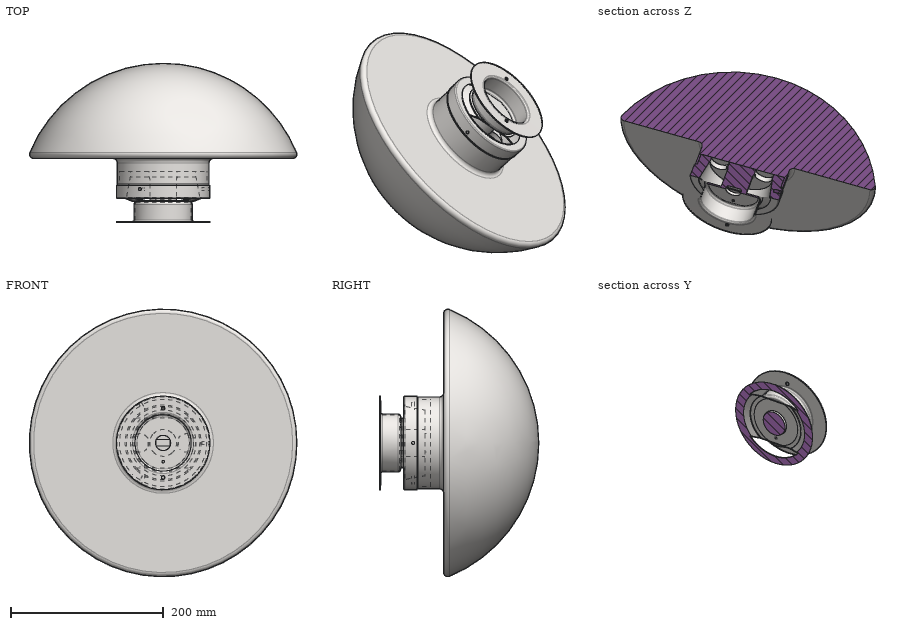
import cadquery as cq
import math


total_depth = 208.5
shade_radius = 175.0
shade_face_y = 83.7
rim_round = 5.5
seam_y = 91.7
neck_radius = 60.2
neck_round = 5.5
neck_end_y = 50.5
socket_radius = 57.0

cavity_mouth_radius = 48.0
cavity_floor_radius = 43.0
cavity_floor_y = 59.5
cavity_floor_thickness = 7.0
post_radius = 17.5
post_round = 2.5
cable_hole_diameter = 24.0
cable_hole_offset = 30.5

sheet = 1.5
collar_radius = 61.3
collar_front_y = 31.5
collar_back_y = 48.5
collar_edge_round = 1.5
opening_radius = 49.7
nose_front_y = 27.5
nose_front_radius = 40.0
nose_half_height = 32.5

pocket_diameter = 20.0
pocket_depth = 4.2
slot_width = 8.5
slot_length = 18.2
slot_depth = 1.5

cup_outer_radius = 38.0
cup_inner_bend = 2.5
flange_radius = 61.3
flange_dish = 0.5
flange_bend = 1.8
mount_hole_diameter = 4.5
mount_hole_offset = 45.0
pilot_hole_diameter = 3.25
pilot_hole_z = -24.5

screw_diameter = 4.0
screw_length = 9.5
screw_recess = 1.0
screw_y = 43.8
screw_angles = (0, 120, 240)


def turned(profile):
    """Solid of revolution about Y from a closed profile of (radius, y) points."""
    return profile.close().revolve(360, (0, 0, 0), (0, 1, 0))


def bore(diameter, front_y, back_y, x=0, z=0):
    """Cylinder along Y, between two Y positions, about an axis at (x, z)."""
    return cq.Workplane("XZ", origin=(x, front_y, z)).circle(diameter / 2).extrude(front_y - back_y)


def block(width, height, front_y, back_y):
    """Box centred on the Y axis, between two Y positions."""
    center_y = (front_y + back_y) / 2
    return cq.Workplane("XY", origin=(0, center_y, 0)).box(width, back_y - front_y, height)


def make_shade():
    round_center_r = shade_radius - rim_round
    round_center_y = shade_face_y + rim_round
    seam_offset = seam_y - round_center_y
    seam_r = round_center_r + math.sqrt(rim_round**2 - seam_offset**2)

    dome_height = total_depth - seam_y
    dome_radius = (seam_r**2 + dome_height**2) / (2 * dome_height)
    half_angle = math.asin(seam_r / dome_radius) / 2
    dome_mid_r = dome_radius * math.sin(half_angle)
    dome_mid_y = total_depth - dome_radius * (1 - math.cos(half_angle))

    diagonal = math.sqrt(0.5)
    rim_mid = (round_center_r + rim_round * diagonal, round_center_y - rim_round * diagonal)
    neck_mid = (
        neck_radius + neck_round * (1 - diagonal),
        shade_face_y - neck_round * (1 - diagonal),
    )
    socket_floor_y = cavity_floor_y + cavity_floor_thickness
    return turned(
        cq.Workplane("XY")
        .moveTo(0, socket_floor_y)
        .lineTo(socket_radius, socket_floor_y)
        .lineTo(socket_radius, neck_end_y)
        .lineTo(neck_radius, neck_end_y)
        .lineTo(neck_radius, shade_face_y - neck_round)
        .threePointArc(neck_mid, (neck_radius + neck_round, shade_face_y))
        .lineTo(round_center_r, shade_face_y)
        .threePointArc(rim_mid, (seam_r, seam_y))
        .threePointArc((dome_mid_r, dome_mid_y), (0, total_depth))
    )


def radial_pin(angle, inner_radius, outer_radius):
    """Cylinder of the screw diameter, pointing outward from the Y axis at the given angle."""
    return (
        cq.Workplane("YZ", origin=(inner_radius, screw_y, 0))
        .circle(screw_diameter / 2)
        .extrude(outer_radius - inner_radius)
        .rotate((0, 0, 0), (0, 1, 0), -angle)
    )


def make_screw(angle):
    outer_radius = collar_radius - screw_recess
    return radial_pin(angle, outer_radius - screw_length, outer_radius)


def make_collar_and_spigot():
    diagonal = math.sqrt(0.5)
    spigot_back_y = cavity_floor_y + cavity_floor_thickness
    collar_round_inset = collar_edge_round * (1 - diagonal)
    collar_round_mid = (collar_radius - collar_round_inset, collar_front_y + collar_round_inset)
    post_round_inset = post_round * (1 - diagonal)
    post_round_mid = (post_radius + post_round_inset, cavity_floor_y - post_round_inset)
    body = turned(
        cq.Workplane("XY")
        .moveTo(0, nose_front_y)
        .lineTo(post_radius, nose_front_y)
        .lineTo(post_radius, cavity_floor_y - post_round)
        .threePointArc(post_round_mid, (post_radius + post_round, cavity_floor_y))
        .lineTo(cavity_floor_radius, cavity_floor_y)
        .lineTo(cavity_mouth_radius, collar_front_y + sheet)
        .lineTo(opening_radius, collar_front_y + sheet)
        .lineTo(opening_radius, collar_front_y)
        .lineTo(collar_radius - collar_edge_round, collar_front_y)
        .threePointArc(collar_round_mid, (collar_radius, collar_front_y + collar_edge_round))
        .lineTo(collar_radius, collar_back_y)
        .lineTo(neck_radius, collar_back_y)
        .lineTo(neck_radius, neck_end_y)
        .lineTo(socket_radius, neck_end_y)
        .lineTo(socket_radius, spigot_back_y)
        .lineTo(0, spigot_back_y)
    )
    for x in (cable_hole_offset, -cable_hole_offset):
        body = body.cut(bore(cable_hole_diameter, cavity_floor_y, spigot_back_y, x=x))
    return body


def make_nose():
    nose = turned(
        cq.Workplane("XY")
        .moveTo(0, nose_front_y)
        .lineTo(nose_front_radius, nose_front_y)
        .lineTo(opening_radius, collar_front_y)
        .lineTo(opening_radius, collar_front_y + sheet)
        .lineTo(nose_front_radius, nose_front_y + sheet)
        .lineTo(0, nose_front_y + sheet)
    )
    return nose.intersect(block(2 * opening_radius, 2 * nose_half_height, nose_front_y, neck_end_y))


def make_cup():
    cup_inner_radius = cup_outer_radius - sheet
    floor_radius = cup_inner_radius - cup_inner_bend
    floor_y = nose_front_y - sheet
    outer_bend = cup_inner_bend + sheet
    flare_radius = cup_inner_radius + flange_bend + sheet
    flare_back_y = flange_dish + sheet
    flare_end_y = flare_back_y + flange_bend
    diagonal = math.sqrt(0.5)
    bend_center_y = floor_y - cup_inner_bend

    def floor_bend_point(radius):
        return (floor_radius + radius * diagonal, bend_center_y + radius * diagonal)

    def flare_bend_point(radius):
        return (flare_radius - radius * diagonal, flare_end_y - radius * diagonal)

    cup = turned(
        cq.Workplane("XY")
        .moveTo(0, nose_front_y)
        .lineTo(floor_radius, nose_front_y)
        .threePointArc(floor_bend_point(outer_bend), (cup_outer_radius, bend_center_y))
        .lineTo(cup_outer_radius, flare_end_y)
        .threePointArc(flare_bend_point(flange_bend), (flare_radius, flare_back_y))
        .lineTo(flange_radius, sheet)
        .lineTo(flange_radius, 0)
        .lineTo(flare_radius, flange_dish)
        .threePointArc(flare_bend_point(flange_bend + sheet), (cup_inner_radius, flare_end_y))
        .lineTo(cup_inner_radius, bend_center_y)
        .threePointArc(floor_bend_point(cup_inner_bend), (floor_radius, floor_y))
        .lineTo(0, floor_y)
    )
    for z in (mount_hole_offset, -mount_hole_offset):
        cup = cup.cut(bore(mount_hole_diameter, 0, flare_end_y, z=z))
    return cup.cut(bore(pilot_hole_diameter, floor_y, nose_front_y, z=pilot_hole_z))


def make_canopy():
    canopy = make_collar_and_spigot().union(make_nose()).union(make_cup())
    pocket_front_y = nose_front_y - sheet
    pocket_floor_y = pocket_front_y + pocket_depth
    canopy = canopy.cut(bore(pocket_diameter, pocket_front_y, pocket_floor_y))
    canopy = canopy.cut(block(slot_length, slot_width, pocket_floor_y, pocket_floor_y + slot_depth))
    screw_hole_floor = collar_radius - screw_recess - screw_length
    screw_hole_end = collar_radius + screw_recess
    for angle in screw_angles:
        canopy = canopy.cut(radial_pin(angle, screw_hole_floor, screw_hole_end))
    return canopy


shade = make_shade()
canopy = make_canopy()
grub_screws = [make_screw(angle) for angle in screw_angles]

result = cq.Compound.makeCompound(
    [shade.val(), canopy.val(), *[screw.val() for screw in grub_screws]]
)